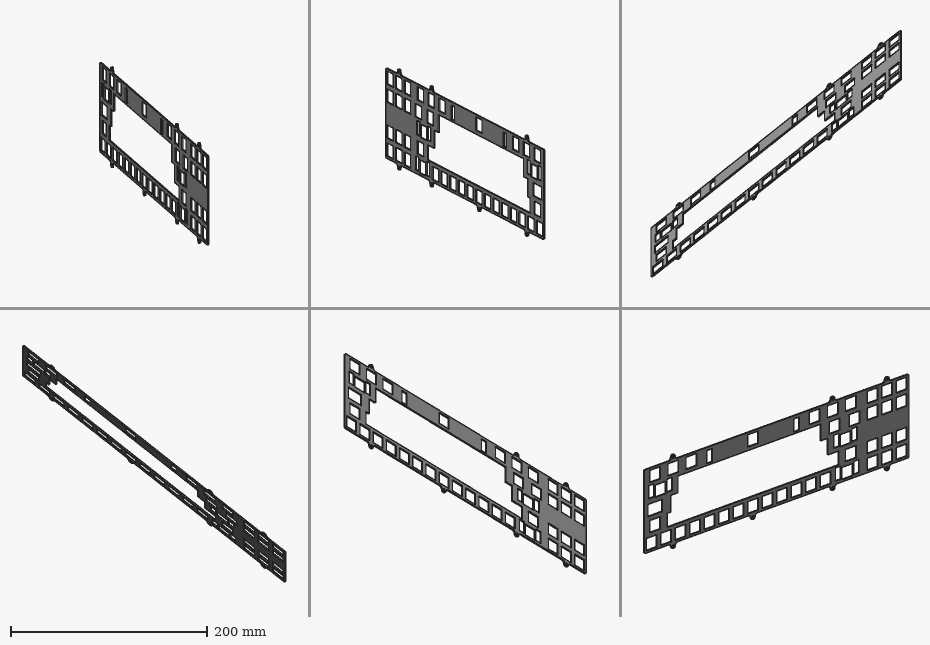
import cadquery as cq
import math


KEY_UNIT = 19.05
PLATE_UNITS_WIDE = 18.25
ROW_COUNT = 5
THICKNESS = 1.5
PLATE_CORNER_RADIUS = 2.0

SWITCH_SIZE = 14.0
CUTOUT_CORNER_RADIUS = 0.5
STEPPED_KEY_SHIFT = 0.25 * KEY_UNIT
STABILISER_WIDTH = 7.0
STABILISER_HEIGHT = 15.0
STABILISER_RISE = 1.5
SHORT_STABILISER_REACH = 11.938
SPACEBAR_STABILISER_REACH = 3 * KEY_UNIT

FIELD_MARGIN = 1.525

TAB_HOLE_DIAMETER = 2.7
TAB_WALL = 1.5
TAB_RADIUS = TAB_HOLE_DIAMETER / 2 + TAB_WALL
TAB_HOLE_OFFSET = 3.0
TAB_ROOT_RADIUS = TAB_HOLE_OFFSET
TOP_TABS = [2, 13, 16.75]
BOTTOM_TABS = [2, 7.5, 13, 16.75]

NAVIGATION_COLUMNS = [15.75, 16.75, 17.75]
SPACEBAR = 7.5
STEPPED_KEY = 0.75
LEFT_SHIFT = 1.125
ENTER = 13.875
BACKSPACE = 14
NUMBER_KEY_COUNT = 13
SWITCH_ROWS = [
    [0.75, 2, 3.25, SPACEBAR, 11.75, 13, 14.25] + NAVIGATION_COLUMNS,
    [LEFT_SHIFT, 13.125, 14.5] + NAVIGATION_COLUMNS,
    [ENTER],
    [0.75, 14.25] + NAVIGATION_COLUMNS,
    [column + 0.5 for column in range(NUMBER_KEY_COUNT)] + [BACKSPACE] + NAVIGATION_COLUMNS,
]
STEPPED_KEY_ROW = 2
STABILISED_KEYS = [
    (0, SPACEBAR, SPACEBAR_STABILISER_REACH, -STABILISER_RISE),
    (1, LEFT_SHIFT, SHORT_STABILISER_REACH, STABILISER_RISE),
    (2, ENTER, SHORT_STABILISER_REACH, STABILISER_RISE),
    (4, BACKSPACE, SHORT_STABILISER_REACH, STABILISER_RISE),
]
FIELD_ROWS = [(1, 2.25, 12.25), (2, 1.75, 12.75), (3, 1.5, 13.5)]

PLATE_WIDTH = PLATE_UNITS_WIDE * KEY_UNIT
PLATE_HEIGHT = ROW_COUNT * KEY_UNIT


def across(units):
    """X of a place given in key units from the left edge."""
    return units * KEY_UNIT - PLATE_WIDTH / 2


def down(units):
    """Z of a place given in key units from the top edge."""
    return PLATE_HEIGHT / 2 - units * KEY_UNIT


def slab(sketch):
    """Extrude a sketch in XZ to the plate thickness, centred on Y = 0."""
    return sketch.extrude(THICKNESS / 2, both=True)


def block(x, z, width, height, corner_radius):
    """Plate-thick rectangle with rounded corners, centred at x, z."""
    body = slab(cq.Workplane("XZ").center(x, z).rect(width, height))
    return body.edges("|Y").fillet(corner_radius)


def switch_cutout(row, column, extra_width=0):
    """Switch opening in the middle of a key, widened by extra_width for a stepped key."""
    width = SWITCH_SIZE + extra_width
    return block(across(column), down(row + 0.5), width, SWITCH_SIZE, CUTOUT_CORNER_RADIUS)


def stabiliser_cutouts(row, column, reach, rise):
    """Pair of stabiliser openings, one on each side of a wide key."""
    z = down(row + 0.5) + rise
    return [
        block(across(column) + side * reach, z, STABILISER_WIDTH, STABILISER_HEIGHT, CUTOUT_CORNER_RADIUS)
        for side in (-1, 1)
    ]


def alpha_field():
    """Stepped opening that takes the place of the letter-key cutouts."""
    last_row = FIELD_ROWS[-1][0]
    left_side = []
    right_side = []
    for row, left, right in FIELD_ROWS:
        top = down(row) - FIELD_MARGIN
        bottom = down(row + 1) - FIELD_MARGIN
        if row == last_row:
            bottom = down(row + 1) + FIELD_MARGIN
        left_x = across(left) + FIELD_MARGIN
        right_x = across(right) - FIELD_MARGIN
        left_side += [(left_x, top), (left_x, bottom)]
        right_side += [(right_x, top), (right_x, bottom)]
    outline = left_side + right_side[::-1]
    return slab(cq.Workplane("XZ").polyline(outline).close()).edges("|Y").fillet(CUTOUT_CORNER_RADIUS)


def tab(column, edge_z, outward):
    """Round-ended tab with flared root; outward is 1 on the top edge and -1 on the bottom edge."""
    x = across(column)
    root_half_width = TAB_RADIUS + TAB_ROOT_RADIUS
    root_mid_offset = root_half_width - TAB_ROOT_RADIUS * math.sin(math.pi / 4)
    root_mid_height = TAB_ROOT_RADIUS * (1 - math.cos(math.pi / 4))

    def at(offset, height):
        return (x + offset, edge_z + outward * height)

    outline = (
        cq.Workplane("XZ")
        .moveTo(*at(-root_half_width, 0))
        .threePointArc(at(-root_mid_offset, root_mid_height), at(-TAB_RADIUS, TAB_HOLE_OFFSET))
        .threePointArc(at(0, TAB_HOLE_OFFSET + TAB_RADIUS), at(TAB_RADIUS, TAB_HOLE_OFFSET))
        .threePointArc(at(root_mid_offset, root_mid_height), at(root_half_width, 0))
        .close()
    )
    hole = cq.Workplane("XZ").center(*at(0, TAB_HOLE_OFFSET)).circle(TAB_HOLE_DIAMETER / 2)
    return slab(outline).cut(slab(hole))


plate = block(0, 0, PLATE_WIDTH, PLATE_HEIGHT, PLATE_CORNER_RADIUS)

for tab_column in TOP_TABS:
    plate = plate.union(tab(tab_column, PLATE_HEIGHT / 2, 1))
for tab_column in BOTTOM_TABS:
    plate = plate.union(tab(tab_column, -PLATE_HEIGHT / 2, -1))

cutouts = [alpha_field(), switch_cutout(STEPPED_KEY_ROW, STEPPED_KEY, STEPPED_KEY_SHIFT)]
for row_number, columns in enumerate(SWITCH_ROWS):
    cutouts += [switch_cutout(row_number, column) for column in columns]
for stabilised_key in STABILISED_KEYS:
    cutouts += stabiliser_cutouts(*stabilised_key)

result = cq.Workplane("XZ").add(plate.val().cut(*[cutout.val() for cutout in cutouts]))